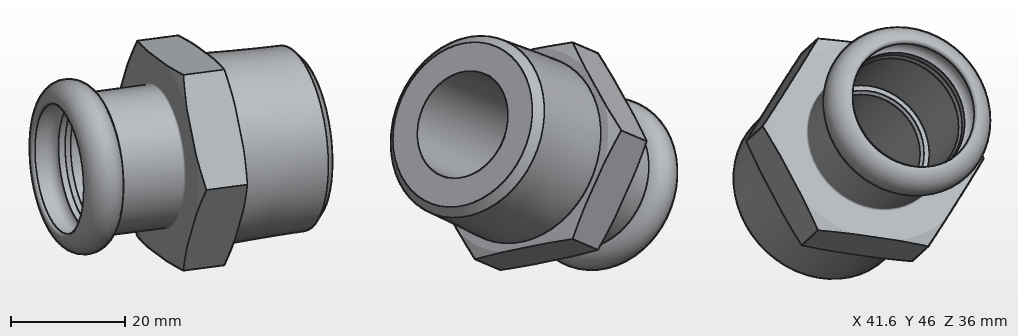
import cadquery as cq
import math

length = 46.0
bead_width = 7.35
hex_start = 18.95
hex_end = 27.95
thread_start = 29.55
thread_end = 44.55

hex_across_flats = 36.0
hex_chamfer_circle = 36.9
hex_chamfer_angle = 15.0
bead_radius = 15.45
neck_radius = 25.3 / 2
neck_fillet = 0.3
thread_root_radius = 33.7 / 2
thread_taper = 1 / 32
end_chamfer_radius = 14.85

mouth_radius = 24.2 / 2
lip_radius = 22.9 / 2
groove_radius = 12.75
groove_straight_end = 3.35
groove_round = 1.85
socket_radius = 22.3 / 2
socket_cone_start = 6.35
socket_start = 7.25
socket_depth = 21.15
bore_radius = 19.3 / 2
bore_mouth_radius = 20.4 / 2
bore_chamfer = bore_mouth_radius - bore_radius


def revolve_about_y(profile):
    return profile.close().revolve(360, (0, 0, 0), (0, 1, 0))


def make_hexagon():
    """Hexagon with corners on X, both faces trimmed by shallow cones."""
    corner_diameter = hex_across_flats / math.cos(math.pi / 6)
    prism = (
        cq.Workplane("XZ", origin=(0, hex_start, 0))
        .polygon(6, corner_diameter)
        .extrude(hex_start - hex_end)
    )
    face_radius = hex_chamfer_circle / 2
    rim_radius = corner_diameter / 2 + 0.45
    drop = (rim_radius - face_radius) * math.tan(math.radians(hex_chamfer_angle))
    envelope = revolve_about_y(
        cq.Workplane("XY")
        .moveTo(0, hex_start)
        .lineTo(face_radius, hex_start)
        .lineTo(rim_radius, hex_start + drop)
        .lineTo(rim_radius, hex_end - drop)
        .lineTo(face_radius, hex_end)
        .lineTo(0, hex_end)
    )
    return prism.intersect(envelope)


def make_body():
    """Round bead, neck and tapered thread blank, without the bore."""
    half_width = bead_width / 2
    bead_height = bead_radius - mouth_radius
    bead_round = (bead_height**2 + half_width**2) / (2 * bead_height)
    bead_centre = bead_radius - bead_round
    bead_back = half_width + math.sqrt(bead_round**2 - (neck_radius - bead_centre) ** 2)
    thread_tip_radius = thread_root_radius - thread_taper * (thread_end - thread_start)
    fillet_mid = neck_fillet * (1 - math.sqrt(0.5))
    return revolve_about_y(
        cq.Workplane("XY")
        .lineTo(mouth_radius, 0)
        .threePointArc((bead_radius, half_width), (neck_radius, bead_back))
        .lineTo(neck_radius, hex_start - neck_fillet)
        .threePointArc(
            (neck_radius + fillet_mid, hex_start - fillet_mid),
            (neck_radius + neck_fillet, hex_start),
        )
        .lineTo(thread_root_radius, hex_start)
        .lineTo(thread_root_radius, thread_start)
        .lineTo(thread_tip_radius, thread_end)
        .lineTo(end_chamfer_radius, length)
        .lineTo(0, length)
    )


def make_cavity():
    """Lip, seal groove, press socket and through bore."""
    lip_round = mouth_radius - lip_radius
    lip_mid = lip_round * (1 - math.sqrt(0.5))
    groove_centre = groove_radius - groove_round
    groove_mid = groove_round * math.sqrt(0.5)
    groove_end = groove_straight_end + math.sqrt(groove_round**2 - (lip_radius - groove_centre) ** 2)
    return revolve_about_y(
        cq.Workplane("XY")
        .lineTo(mouth_radius, 0)
        .threePointArc((lip_radius + lip_mid, lip_mid), (lip_radius, lip_round))
        .lineTo(groove_radius, lip_round)
        .lineTo(groove_radius, groove_straight_end)
        .threePointArc(
            (groove_centre + groove_mid, groove_straight_end + groove_mid),
            (lip_radius, groove_end),
        )
        .lineTo(lip_radius, socket_cone_start)
        .lineTo(socket_radius, socket_start)
        .lineTo(socket_radius, socket_depth)
        .lineTo(bore_mouth_radius, socket_depth)
        .lineTo(bore_radius, socket_depth + bore_chamfer)
        .lineTo(bore_radius, length)
        .lineTo(0, length)
    )


result = make_body().union(make_hexagon()).cut(make_cavity())
result = result.translate((0, -length / 2, 0))